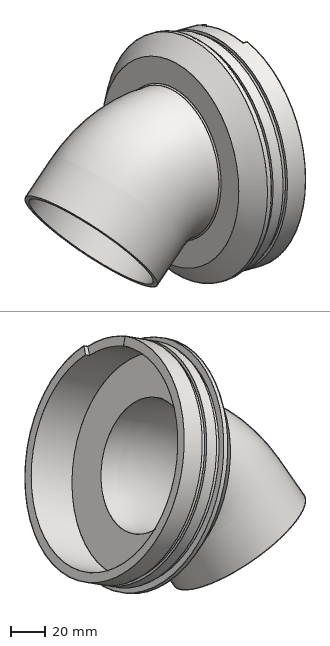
import cadquery as cq
import math

body_radius = 73.1
flange_radius = 75.7
flange_rear = 28.0
flange_chamfer_start = 31.0
body_length = 43.0
flange_chamfer = body_length - flange_chamfer_start

groove_starts = (13.8, 24.7)
groove_width = 3.3
groove_side_depth = 1.8
groove_depth = 2.9

recess_radius = 67.2
recess_depth = flange_chamfer_start
notch_angle = 30.0
notch_depth = 3.0

pipe_radius = 93.0 / 2
bore_radius = 40.6
socket_radius = 87.0 / 2
neck_chamfer = 0.9
bend_start = body_length + neck_chamfer
bend_angle = 45.0
bend_radius = 55.7
overall_length = 135.5
bend_rad = math.radians(bend_angle)
bend_reach = (bend_radius + pipe_radius) * math.sin(bend_rad)
socket_length = (overall_length - bend_start - bend_reach) / math.cos(bend_rad)


def y_cylinder(radius, start, length):
    """Cylinder about the Y axis, running from start toward -Y."""
    return cq.Workplane("XZ", origin=(0, -start, 0)).circle(radius).extrude(length)


def make_body():
    """Revolved body with the flange and the chamfered pipe neck."""
    profile = (
        cq.Workplane("XY")
        .moveTo(0, 0)
        .lineTo(body_radius, 0)
        .lineTo(body_radius, -flange_rear)
        .lineTo(flange_radius, -flange_rear)
        .lineTo(flange_radius, -flange_chamfer_start)
        .lineTo(flange_radius - flange_chamfer, -body_length)
        .lineTo(pipe_radius + neck_chamfer, -body_length)
        .lineTo(pipe_radius, -bend_start)
        .lineTo(0, -bend_start)
        .close()
    )
    return profile.revolve(360, (0, 0, 0), (0, 1, 0))


def make_groove(start):
    """Ring cutter with straight sides and a rounded bottom."""
    shoulder = body_radius - groove_side_depth
    end = start + groove_width
    bottom = (body_radius - groove_depth, -(start + end) / 2)
    profile = (
        cq.Workplane("XY")
        .moveTo(flange_radius, -start)
        .lineTo(shoulder, -start)
        .threePointArc(bottom, (shoulder, -end))
        .lineTo(flange_radius, -end)
        .close()
    )
    return profile.revolve(360, (0, 0, 0), (0, 1, 0))


def make_notch():
    """Sector with radial sides, centred on +Z at the rear face."""
    reach = 1.2 * body_radius
    half_width = reach * math.tan(math.radians(notch_angle / 2))
    sector = cq.Workplane("XZ").polyline([(0, 0), (-half_width, reach), (half_width, reach)]).close()
    return sector.extrude(notch_depth)


def make_bend(radius):
    """Solid elbow curving from -Y down toward -Z."""
    section = cq.Workplane("XZ", origin=(0, -bend_start, 0)).circle(radius)
    return section.revolve(bend_angle, (0, -bend_radius, 0), (1, -bend_radius, 0))


def make_straight(radius):
    """Solid cylinder along the slanted pipe axis, from the bend to the mouth."""
    mouth_direction = (0, -math.cos(bend_rad), -math.sin(bend_rad))
    bend_end = (
        0,
        -bend_start - bend_radius * math.sin(bend_rad),
        -bend_radius * (1 - math.cos(bend_rad)),
    )
    plane = cq.Plane(origin=bend_end, xDir=(1, 0, 0), normal=mouth_direction)
    return cq.Workplane(plane).circle(radius).extrude(socket_length)


result = make_body().union(make_bend(pipe_radius)).union(make_straight(pipe_radius))
for groove_start in groove_starts:
    result = result.cut(make_groove(groove_start))

result = result.cut(y_cylinder(recess_radius, 0, recess_depth))
result = result.cut(y_cylinder(bore_radius, 0, bend_start))
result = result.cut(make_bend(bore_radius))
result = result.cut(make_straight(socket_radius))
result = result.cut(make_notch())